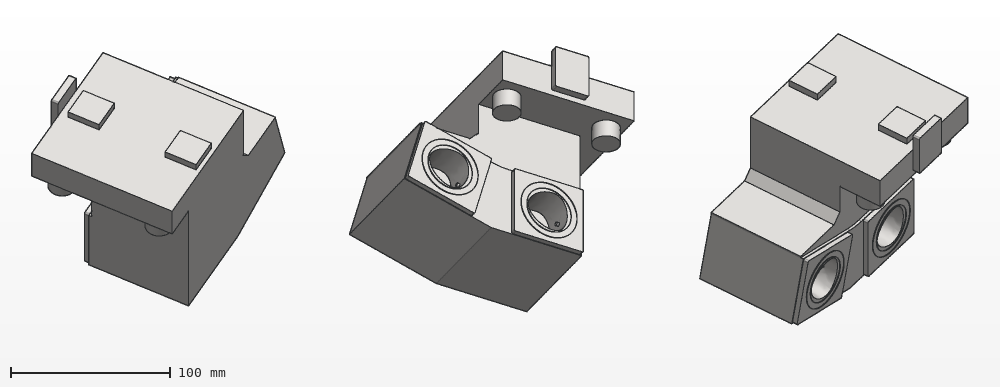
import cadquery as cq
import math

plate_length = 100.0
plate_width = 94.0
plate_bottom = 92.0
plate_thickness = 22.0
plate_top = plate_bottom + plate_thickness
plate_mid_y = plate_width / 2

pad_length = 22.0
pad_width = 20.0
pad_height = 5.0
pad_start_x = 6.0
pad_pitch = 69.0

tab_thickness = 5.0
tab_width = 24.0
tab_height = 30.0
tab_top = 126.0
tab_corner_radius = 1.0

pin_diameter = 18.0
pin_length = 12.0
pin_pitch_x = 69.0
pin_pitch_y = 71.0

tilt = 15.0
body_left = 31.0
housing_left = 29.0
body_front = 21.5
body_back = 148.37
housing_height = 48.0
housing_bend_radius = 47.0
bend_y = 86.2
shelf_height = 64.0
shelf_chamfer = 6.3

cover_length = 49.4
cover_height = 47.2
cover_thickness = 3.5
cover_corner_radius = 1.0
cover_margin = 0.7
ring_diameter = 40.0
ring_height = 0.5
recess_diameter = 31.6
recess_depth = 0.5
socket_mean_diameter = 28.0
socket_lobe = 0.8
socket_depth = 22.0
socket_taper = 1 / 20
socket_point_step = 10
key_pin_diameter = 2.5
key_pin_reach = 11.2

tilt_rad = math.radians(tilt)
cos_tilt = math.cos(tilt_rad)
sin_tilt = math.sin(tilt_rad)

station_offset = cover_margin + cover_length / 2

tilt_end_y = body_back
tilt_end_z = (body_back - bend_y) * math.tan(tilt_rad)
tilt_top_y = tilt_end_y - housing_height * sin_tilt
tilt_top_z = tilt_end_z + housing_height * cos_tilt
top_bend_y = bend_y - housing_height * math.tan(tilt_rad / 2)


def block(x0, y0, z0, length, width, height):
    """Box given by its lowest corner and its sizes along X, Y and Z."""
    return cq.Workplane("XY").box(length, width, height, centered=False).translate((x0, y0, z0))


def extrude_along_x(points, x_start):
    """Extrude a YZ outline from x_start to the +X face of the plate."""
    profile = cq.Workplane("YZ", origin=(x_start, 0, 0)).polyline(points).close()
    return profile.extrude(plate_length - x_start)


def make_plate():
    plate = block(0, 0, plate_bottom, plate_length, plate_width, plate_thickness)
    for index in range(2):
        pad_x = pad_start_x + index * pad_pitch
        pad_y = plate_mid_y - pad_width / 2
        plate = plate.union(block(pad_x, pad_y, plate_top, pad_length, pad_width, pad_height))
    tab_y = plate_mid_y - tab_width / 2
    tab = block(-tab_thickness, tab_y, tab_top - tab_height, tab_thickness, tab_width, tab_height)
    plate = plate.union(tab.edges("|X").fillet(tab_corner_radius))
    pins = (
        cq.Workplane("XY", origin=(plate_length / 2, plate_mid_y, plate_bottom))
        .rarray(pin_pitch_x, pin_pitch_y, 2, 2)
        .circle(pin_diameter / 2)
        .extrude(-pin_length)
    )
    return plate.union(pins)


def make_body():
    upper = extrude_along_x(
        [
            (body_front, 0),
            (bend_y, 0),
            (tilt_end_y, tilt_end_z),
            (tilt_top_y, tilt_top_z),
            (tilt_top_y, shelf_height),
            (plate_width + shelf_chamfer, shelf_height),
            (plate_width, shelf_height + shelf_chamfer),
            (plate_width, plate_bottom),
            (body_front, plate_bottom),
        ],
        body_left,
    )
    housing = extrude_along_x(
        [
            (body_front, 0),
            (bend_y, 0),
            (tilt_end_y, tilt_end_z),
            (tilt_top_y, tilt_top_z),
            (top_bend_y, housing_height),
            (body_front, housing_height),
        ],
        housing_left,
    )
    bend_edge = cq.selectors.NearestToPointSelector((plate_length / 2, top_bend_y, housing_height))
    housing = housing.edges("|X").edges(bend_edge).fillet(housing_bend_radius)
    return upper.union(housing)


def socket_outline(depth):
    """Points of the three-lobed socket at a depth, with one lobe toward +Y."""
    radius = (socket_mean_diameter - socket_taper * depth) / 2
    points = []
    for degrees in range(0, 360, socket_point_step):
        angle = math.radians(degrees)
        across = radius * math.cos(angle)
        across -= socket_lobe * (2 * math.cos(2 * angle) - math.cos(4 * angle))
        up = radius * math.sin(angle)
        up += socket_lobe * (2 * math.sin(2 * angle) + math.sin(4 * angle))
        points.append((-across, up))
    return points


def place(shape, axis_y, axis_z, angle):
    """Move a station shape from the X axis to its place and tilt it."""
    return shape.rotate((0, 0, 0), (1, 0, 0), angle).translate((0, axis_y, axis_z))


def make_station():
    """Solid part and cavity of one station, with its axis on the X axis."""
    cover_face = housing_left - cover_thickness
    ring_face = cover_face - ring_height
    recess_floor = ring_face + recess_depth
    cover = cq.Workplane("YZ", origin=(cover_face, 0, 0)).rect(cover_length, cover_height)
    cover = cover.extrude(cover_thickness).edges("|X").fillet(cover_corner_radius)
    ring = cq.Workplane("YZ", origin=(ring_face, 0, 0)).circle(ring_diameter / 2).extrude(ring_height)
    recess = cq.Workplane("YZ", origin=(ring_face, 0, 0)).circle(recess_diameter / 2).extrude(recess_depth)
    socket = (
        cq.Workplane("YZ", origin=(recess_floor, 0, 0))
        .spline(socket_outline(0), periodic=True)
        .close()
        .workplane(offset=socket_depth)
        .spline(socket_outline(socket_depth), periodic=True)
        .close()
        .loft(ruled=True)
    )
    key_pin = (
        cq.Workplane("XZ", origin=(recess_floor + socket_depth / 2, -key_pin_reach, 0))
        .circle(key_pin_diameter / 2)
        .extrude(socket_mean_diameter / 2 - key_pin_reach)
    )
    return cover.union(ring), recess.union(socket).cut(key_pin)


def add_stations(body):
    solid, cavity = make_station()
    axis_z = housing_height / 2
    tilted_y = tilt_end_y - station_offset * cos_tilt - axis_z * sin_tilt
    tilted_z = tilt_end_z - station_offset * sin_tilt + axis_z * cos_tilt
    stations = [
        (body_front + station_offset, axis_z, 0),
        (tilted_y, tilted_z, tilt),
    ]
    for axis_y, axis_height, angle in stations:
        body = body.union(place(solid, axis_y, axis_height, angle))
        body = body.cut(place(cavity, axis_y, axis_height, angle))
    return body


result = add_stations(make_plate().union(make_body()))